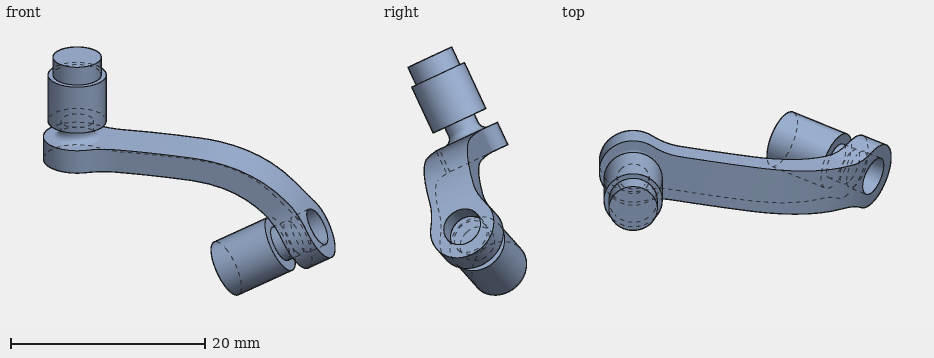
import cadquery as cq
import math

yaw = -10.0
tilt = 25.0

thickness = 2.55
arm_width = 5.0
boss_radius = 3.5
blend_radius = 7.0
root_drop_radius = 132.25
root_start = boss_radius
bend_start = 12.4
end_x = 25.13
end_z = -8.2
end_slope = 60.0
end_flat = 0.15
end_thickness = 2.83

peg_radius = 3.0
peg_bottom = 1.77
peg_top = 7.0
cap_radius = 2.5
cap_top = 9.02
neck_radius = 1.68
neck_fillet = 0.8

hole_radius = 2.0
hole_depth = 2.0
lower_neck_radius = 1.9
lower_peg_start = 4.5
lower_peg_end = 11.03

blend_reach = math.sqrt((boss_radius + blend_radius) ** 2 - (arm_width / 2 + blend_radius) ** 2)
bend_slope = math.degrees(math.asin((bend_start - root_start) / root_drop_radius))
bend_z = -root_drop_radius * (1 - math.cos(math.radians(bend_slope)))


def along(slope):
    """Unit direction in XZ heading down the lever at the given slope."""
    return math.cos(math.radians(slope)), -math.sin(math.radians(slope))


def below(point, slope, depth):
    """Point offset squarely into a lever that has the given slope."""
    dx, dz = along(slope)
    return point[0] + dz * depth, point[1] - dx * depth


def lever_profile():
    """Side profile: flat root, gentle droop, smooth bend and slightly thicker flat end."""
    end_dx, end_dz = along(end_slope)
    mid_slope = bend_slope / 2
    chord = 2 * root_drop_radius * math.sin(math.radians(mid_slope / 2))
    mid = (
        root_start + chord * math.cos(math.radians(mid_slope / 2)),
        -chord * math.sin(math.radians(mid_slope / 2)),
    )
    bend = (bend_start, bend_z)
    flat = (end_x - end_flat * end_dx, end_z - end_flat * end_dz)
    tip = (end_x + boss_radius * end_dx, end_z + boss_radius * end_dz)
    bend_tangent = along(bend_slope)
    return (
        cq.Workplane("XZ", origin=(0, boss_radius, 0))
        .moveTo(-boss_radius, 0)
        .lineTo(root_start, 0)
        .threePointArc(mid, bend)
        .spline([flat], tangents=[bend_tangent, (end_dx, end_dz)], includeCurrent=True)
        .lineTo(*tip)
        .lineTo(*below(tip, end_slope, end_thickness))
        .lineTo(*below(flat, end_slope, end_thickness))
        .spline(
            [below(bend, bend_slope, thickness)],
            tangents=[(-end_dx, -end_dz), (-bend_tangent[0], -bend_tangent[1])],
            includeCurrent=True,
        )
        .threePointArc(below(mid, mid_slope, thickness), (root_start, -thickness))
        .lineTo(-boss_radius, -thickness)
        .close()
        .extrude(2 * boss_radius)
    )


def boss_outline(plane, length, height):
    """Round boss at the plane origin, blended into an arm running along the plane's +X."""
    half = arm_width / 2
    share = boss_radius / (boss_radius + blend_radius)
    touch = (blend_reach * share, (half + blend_radius) * share)
    angle = math.atan2(touch[1], touch[0])
    mid_angle = (angle + math.pi / 2) / 2
    blend_mid = (
        blend_reach - blend_radius * math.cos(mid_angle),
        half + blend_radius - blend_radius * math.sin(mid_angle),
    )
    return (
        cq.Workplane(plane)
        .moveTo(length, -half)
        .lineTo(length, half)
        .lineTo(blend_reach, half)
        .threePointArc(blend_mid, touch)
        .threePointArc((-boss_radius, 0), (touch[0], -touch[1]))
        .threePointArc((blend_mid[0], -blend_mid[1]), (blend_reach, -half))
        .close()
        .extrude(height, both=True)
    )


def cylinder(plane, radius, start, end):
    """Cylinder on the plane's axis between two heights."""
    return cq.Workplane(plane).workplane(offset=start).circle(radius).extrude(end - start)


root_plane = cq.Plane.XY()
end_direction = along(end_slope)
end_plane = cq.Plane(
    origin=(end_x, 0, end_z),
    xDir=(-end_direction[0], 0, -end_direction[1]),
    normal=(-end_direction[1], 0, end_direction[0]),
)
outline_height = 2 * end_x

end_length = math.hypot(end_x - bend_start, end_z)
profile = lever_profile()
root_half = profile.intersect(boss_outline(root_plane, bend_start, outline_height))
end_half = profile.intersect(boss_outline(end_plane, end_length, outline_height))
lever = root_half.union(end_half)

foot = (
    cq.Workplane("XZ")
    .moveTo(0, -thickness / 2)
    .lineTo(neck_radius + neck_fillet, -thickness / 2)
    .lineTo(neck_radius + neck_fillet, 0)
    .radiusArc((neck_radius, neck_fillet), neck_fillet)
    .lineTo(neck_radius, peg_bottom)
    .lineTo(0, peg_bottom)
    .close()
    .revolve(360, (0, 0), (0, 1))
)
upper_peg = (
    foot.union(cylinder(root_plane, peg_radius, peg_bottom, peg_top))
    .union(cylinder(root_plane, cap_radius, peg_top, cap_top))
)

lower_peg = cylinder(end_plane, lower_neck_radius, -lower_peg_start, -hole_depth).union(
    cylinder(end_plane, peg_radius, -lower_peg_end, -lower_peg_start)
)
hole = cylinder(end_plane, hole_radius, -hole_depth, 0)

result = (
    lever.union(upper_peg)
    .union(lower_peg)
    .cut(hole)
    .rotate((0, 0, 0), (0, 0, 1), yaw)
    .rotate((0, 0, 0), (1, 0, 0), tilt)
)